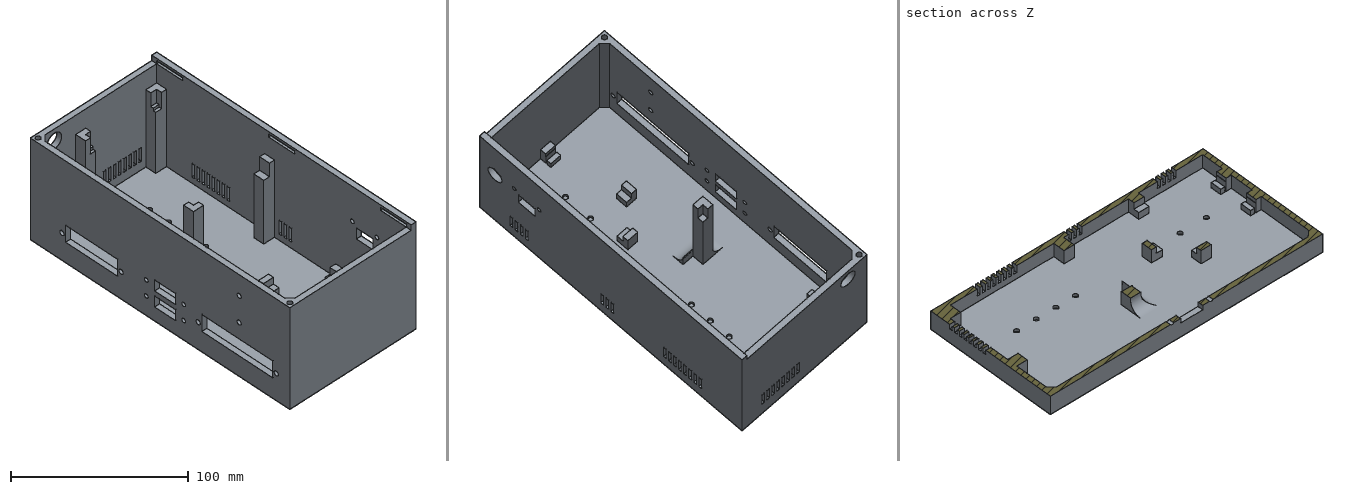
import cadquery as cq


length = 208.0
depth = 100.0
height = 79.0
wall = 4.0
rim_height = height - wall
corner_chamfer = 4.0
right_wall_inside = length - wall
back_wall_inside = depth - wall

screw_hole = 3.3
small_screw_hole = 3.0
lid_hole_inset = 3.1
lid_hole_depth = 10.5
floor_hole_depth = 2.0
floor_hole_y = 63.0
floor_hole_xs = (31.8, 46.8, 61.8, 76.8, 156.6, 176.5)

catch_length = 20.5
catch_height = 2.0
catch_depth = 2.0

connector_bottom = 15.2
connector_height = 12.5
connector_screw_gap = 3.0
connector_screw_z = 20.2
left_connector = (28.3, 41.5)
right_connector = (137.5, 56.8)
usb_left = 99.6
usb_width = 16.6
usb_height = 8.1
usb_bottoms = (10.5, 22.3)
usb_screw_gap = 6.7
led_x = 167.5
led_zs = (39.7, 59.5)

side_hole = 11.5
side_hole_y = 15.2
side_hole_z = 66.1
back_hole = 11.0
back_hole_x = 195.7
back_hole_z = 50.1
socket_left = 164.1
socket_bottom = 42.2
socket_width = 13.0
socket_height = 8.1
socket_screw_gap = 3.3
socket_screw_z = 53.2

slot_width = 2.0
slot_pitch = 2 * slot_width
slot_height = 10.0
back_slot_bottom = 8.5
side_slot_bottom = 10.5
side_slot_first_y = 54.0
side_slot_count = 8
back_slot_groups = ((32.2, 8), (102.0, 3), (169.7, 4))

post = 2 * wall
grip = wall
back_post_depth = 8.5
large_board_right = 98.4
large_board_front = 32.0
large_board_height = 47.0
large_board_grip = 10.0
lower_seat_drop = 2.0
foot_radius = 8.0

small_board_left = 127.3
small_board_front = 35.5
small_post_x = 147.5
small_post_y = 55.0
small_board_height = 5.0
small_board_grip = 5.0
clip_ys = (47.2, 72.2)
clip_reach = 8.1
clip_low_width = 3.1
clip_low_height = 4.0
clip_foot_thickness = 4.2
clip_foot_height = 7.0


def block(x, y, z, size_x, size_y, size_z):
    """Box placed by its left, front, bottom corner."""
    return cq.Workplane("XY").box(size_x, size_y, size_z, centered=False).translate((x, y, z))


def hole_in_front(x, z, diameter):
    return cq.Workplane("XZ").center(x, z).circle(diameter / 2).extrude(-wall)


def hole_in_back(x, z, diameter):
    return hole_in_front(x, z, diameter).translate((0, back_wall_inside, 0))


def hole_down(x, y, top, diameter, hole_depth):
    return cq.Workplane("XY", origin=(x, y, top)).circle(diameter / 2).extrude(-hole_depth)


def make_shell():
    outside = block(0, 0, 0, length, depth, rim_height)
    lip = block(0, back_wall_inside, rim_height, length, wall, wall)
    cavity = block(wall, wall, wall, length - 2 * wall, depth - 2 * wall, height)
    cavity = cavity.edges("|Z and <Y").chamfer(corner_chamfer)
    return outside.union(lip).cut(cavity)


def cut_lid_fixings(body):
    for x in (lid_hole_inset, length - lid_hole_inset):
        body = body.cut(hole_down(x, lid_hole_inset, rim_height, screw_hole, lid_hole_depth))
    for x in (wall, (length - catch_length) / 2, right_wall_inside - catch_length):
        body = body.cut(block(x, back_wall_inside, rim_height, catch_length, catch_depth, catch_height))
    return body


def cut_front(body):
    for left, width in (left_connector, right_connector):
        body = body.cut(block(left, 0, connector_bottom, width, wall, connector_height))
        for x in (left - connector_screw_gap, left + width + connector_screw_gap):
            body = body.cut(hole_in_front(x, connector_screw_z, screw_hole))
    for bottom in usb_bottoms:
        body = body.cut(block(usb_left, 0, bottom, usb_width, wall, usb_height))
        middle_z = bottom + usb_height / 2
        for x in (usb_left - usb_screw_gap, usb_left + usb_width + usb_screw_gap):
            body = body.cut(hole_in_front(x, middle_z, small_screw_hole))
    for z in led_zs:
        body = body.cut(hole_in_front(led_x, z, screw_hole))
    return body


def cut_back(body):
    body = body.cut(hole_in_back(back_hole_x, back_hole_z, back_hole))
    body = body.cut(block(socket_left, back_wall_inside, socket_bottom, socket_width, wall, socket_height))
    for x in (socket_left - socket_screw_gap, socket_left + socket_width + socket_screw_gap):
        body = body.cut(hole_in_back(x, socket_screw_z, small_screw_hole))
    for left, count in back_slot_groups:
        for i in range(count):
            x = left + i * slot_pitch
            body = body.cut(block(x, back_wall_inside, back_slot_bottom, slot_width, wall, slot_height))
    return body


def cut_left_side(body):
    cable_hole = cq.Workplane("YZ").center(side_hole_y, side_hole_z).circle(side_hole / 2).extrude(wall)
    body = body.cut(cable_hole)
    for i in range(side_slot_count):
        y = side_slot_first_y + i * slot_pitch
        body = body.cut(block(0, y, side_slot_bottom, wall, slot_width, slot_height))
    return body


def cut_floor(body):
    for x in floor_hole_xs:
        body = body.cut(hole_down(x, floor_hole_y, wall, screw_hole, floor_hole_depth))
    return body


def stepped_post(x, y, size_x, size_y, shelf_height, grip_height, step):
    """Floor post with a box `step` (x, y, size x, size y) taken out of its top to seat a board."""
    step_x, step_y, step_size_x, step_size_y = step
    column = block(x, y, wall, size_x, size_y, shelf_height + grip_height)
    return column.cut(block(step_x, step_y, wall + shelf_height, step_size_x, step_size_y, grip_height))


def add_large_board_posts(body):
    left_x = wall
    right_x = large_board_right - post
    front_y = large_board_front
    back_y = back_wall_inside - back_post_depth
    seat_x = left_x + post - grip
    seat_y = front_y + post - grip
    back_seat = back_post_depth - grip
    heights = (large_board_height, large_board_grip)

    for y, size_y, notch_y, notch_size_y in (
        (front_y, post, seat_y, grip),
        (back_y, back_post_depth, back_y, back_seat),
    ):
        notch = (seat_x, notch_y, grip, notch_size_y)
        column = stepped_post(left_x, y, post, size_y, *heights, notch)
        lower_z = wall + large_board_height - lower_seat_drop
        lower_half = block(seat_x + grip / 2, notch_y, lower_z, grip / 2, notch_size_y, lower_seat_drop)
        body = body.union(column.cut(lower_half))

    seat = (right_x, back_y, post, back_seat)
    body = body.union(stepped_post(right_x, back_y, post, back_post_depth, *heights, seat))

    seat = (right_x, seat_y, grip, grip)
    return body.union(stepped_post(right_x, front_y, post, post, *heights, seat))


def make_post_foot():
    """Concave foot on the right and front faces of the front right post, mitred at the corner."""
    r = foot_radius
    left = large_board_right - post
    right = large_board_right + r
    front = large_board_front - r
    back = large_board_front + post + r
    foot = block(large_board_right, front, wall, r, back - front, r)
    foot = foot.union(block(left, front, wall, right - left, r, r))
    right_scoop = cq.Workplane("XZ", origin=(right, front, wall + r)).circle(r).extrude(front - back)
    front_scoop = cq.Workplane("YZ", origin=(left, front, wall + r)).circle(r).extrude(right - left)
    return foot.cut(right_scoop).cut(front_scoop)


def add_small_board_posts(body):
    heights = (small_board_height, small_board_grip)
    back_y = back_wall_inside - back_post_depth
    front_y = small_board_front
    left_x = small_board_left
    clip_height = small_board_height + small_board_grip

    seat = (small_post_x, back_y, post, grip)
    body = body.union(stepped_post(small_post_x, back_y, post, back_post_depth, *heights, seat))
    seat = (small_post_x, front_y + grip, post, post - grip)
    body = body.union(stepped_post(small_post_x, front_y, post, post, *heights, seat))
    seat = (left_x + grip, small_post_y, back_post_depth - grip, post)
    body = body.union(stepped_post(left_x, small_post_y, back_post_depth, post, *heights, seat))

    low_x = right_wall_inside - clip_reach
    for y in clip_ys:
        body = body.union(block(low_x, y, wall, clip_low_width, post, clip_low_height))
        for thickness, size_z in ((grip, clip_height), (clip_foot_thickness, clip_foot_height)):
            body = body.union(block(right_wall_inside - thickness, y, wall, thickness, post, size_z))
    return body


result = make_shell()
result = cut_lid_fixings(result)
result = cut_front(result)
result = cut_back(result)
result = cut_left_side(result)
result = cut_floor(result)
result = add_large_board_posts(result)
result = result.union(make_post_foot())
result = add_small_board_posts(result)